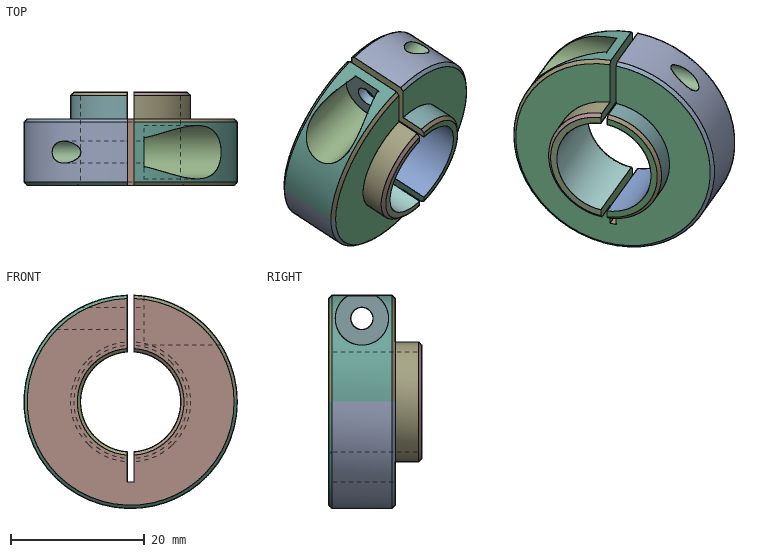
import cadquery as cq

COLLAR_DIAMETER = 32.0
COLLAR_WIDTH = 10.0
HUB_DIAMETER = 18.0
HUB_LENGTH = 4.0
BORE_DIAMETER = 15.0
EDGE_CHAMFER = 0.5

SLIT_WIDTH = 1.0
SLIT_BOTTOM_DEPTH = 12.0

SCREW_HEIGHT = 12.5
SCREW_HOLE_DIAMETER = 3.3
SCREW_HEAD_DIAMETER = 8.0
SCREW_SEAT_X = 2.0

COLLAR_RADIUS = COLLAR_DIAMETER / 2
TOTAL_LENGTH = COLLAR_WIDTH + HUB_LENGTH
SCREW_Y = COLLAR_WIDTH / 2


def cylinder_along_y(diameter, start_y, length):
    return cq.Workplane("XZ", origin=(0, start_y, 0)).circle(diameter / 2).extrude(-length)


def cylinder_along_x(diameter, start_x, end_x):
    start = (start_x, SCREW_Y, SCREW_HEIGHT)
    return cq.Workplane("YZ", origin=start).circle(diameter / 2).extrude(end_x - start_x)


def collar_with_hub():
    collar = cylinder_along_y(COLLAR_DIAMETER, 0, COLLAR_WIDTH)
    collar = collar.edges("%CIRCLE").chamfer(EDGE_CHAMFER)
    hub_start = COLLAR_WIDTH / 2
    hub = cylinder_along_y(HUB_DIAMETER, hub_start, TOTAL_LENGTH - hub_start)
    hub = hub.faces(">Y").edges().chamfer(EDGE_CHAMFER)
    return collar.union(hub)


def chamfered_bore():
    bore_radius = BORE_DIAMETER / 2
    mouth_radius = bore_radius + EDGE_CHAMFER
    profile = (
        cq.Workplane("XY")
        .moveTo(0, 0)
        .lineTo(mouth_radius, 0)
        .lineTo(bore_radius, EDGE_CHAMFER)
        .lineTo(bore_radius, TOTAL_LENGTH)
        .lineTo(0, TOTAL_LENGTH)
        .close()
    )
    return profile.revolve(360, (0, 0, 0), (0, 1, 0))


def clamping_slit():
    height = COLLAR_RADIUS + SLIT_BOTTOM_DEPTH
    slit = cq.Workplane("XY").box(SLIT_WIDTH, TOTAL_LENGTH, height, centered=(True, False, False))
    return slit.translate((0, 0, -SLIT_BOTTOM_DEPTH))


def clamping_screw_hole():
    hole = cylinder_along_x(SCREW_HOLE_DIAMETER, -COLLAR_RADIUS, COLLAR_RADIUS)
    head_pocket = cylinder_along_x(SCREW_HEAD_DIAMETER, SCREW_SEAT_X, COLLAR_RADIUS)
    return hole.union(head_pocket)


result = collar_with_hub().cut(chamfered_bore()).cut(clamping_slit()).cut(clamping_screw_hole())